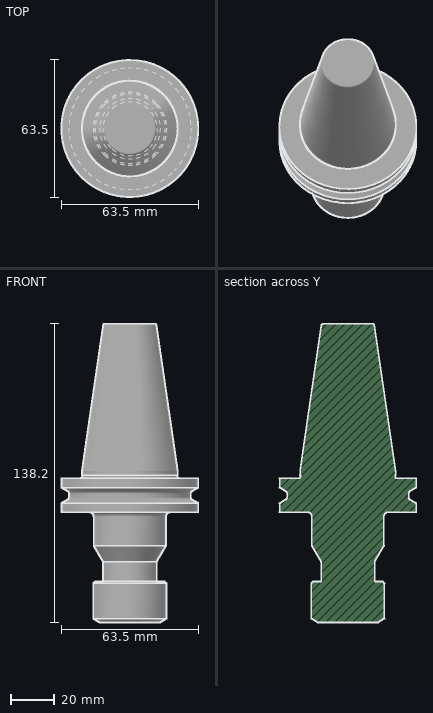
import cadquery as cq
import math


GAUGE_RADIUS = 44.45 / 2
TAPER_LENGTH = 68.25
TAPER_SLOPE = 7 / 48
TIP_FILLET = 1.0

FLANGE_RADIUS = 63.5 / 2
FLANGE_TOP_Z = -3.175
FLANGE_BOTTOM_Z = -19.05
GROOVE_CENTER_Z = -11.2
GROOVE_FLOOR_RADIUS = 28.2
GROOVE_MOUTH_WIDTH = 7.2
GROOVE_FLANK_ANGLE = 30
GROOVE_FILLET = 1.0

RELIEF_RADIUS = 22.0
RELIEF_TOP_Z = -1.9
RELIEF_FILLET = 0.8

BODY_RADIUS = 16.8
BODY_FILLET = 2.0
BODY_BOTTOM_Z = -34.45
NECK_RADIUS = 12.5
NECK_TOP_Z = -41.8

NUT_RADIUS = 17.0
NUT_TOP_Z = -51.0
NUT_BOTTOM_Z = -70.0
NUT_TOP_CHAMFER = 0.9
NUT_BOTTOM_CHAMFER_HEIGHT = 1.8
NUT_BOTTOM_CHAMFER_WIDTH = 3.0

SELECTION_MARGIN = 0.1


def revolve(points):
    """Turn a closed outline of (radius, z) points about the Z axis."""
    outline = cq.Workplane("XZ").polyline(points).close()
    return outline.revolve(360, (0, 0, 0), (0, 1, 0))


def fillet_round_edge(solid, radius, z, fillet):
    """Round the circular edge of the given radius lying at height z."""
    reach = radius + SELECTION_MARGIN
    lower_corner = (-reach, -reach, z - SELECTION_MARGIN)
    upper_corner = (reach, reach, z + SELECTION_MARGIN)
    edge_zone = cq.selectors.BoxSelector(lower_corner, upper_corner, boundingbox=True)
    return solid.edges(edge_zone).fillet(fillet)


def make_shank():
    tip_radius = GAUGE_RADIUS - TAPER_LENGTH * TAPER_SLOPE
    shank = revolve(
        [
            (0, FLANGE_TOP_Z),
            (RELIEF_RADIUS, FLANGE_TOP_Z),
            (RELIEF_RADIUS, RELIEF_TOP_Z),
            (GAUGE_RADIUS, RELIEF_TOP_Z),
            (GAUGE_RADIUS, 0),
            (tip_radius, TAPER_LENGTH),
            (0, TAPER_LENGTH),
        ]
    )
    return shank.faces(">Z").edges().fillet(TIP_FILLET)


def make_flange():
    half_mouth = GROOVE_MOUTH_WIDTH / 2
    groove_depth = FLANGE_RADIUS - GROOVE_FLOOR_RADIUS
    half_floor = half_mouth - groove_depth * math.tan(math.radians(GROOVE_FLANK_ANGLE))
    flange = revolve(
        [
            (0, FLANGE_BOTTOM_Z),
            (FLANGE_RADIUS, FLANGE_BOTTOM_Z),
            (FLANGE_RADIUS, GROOVE_CENTER_Z - half_mouth),
            (GROOVE_FLOOR_RADIUS, GROOVE_CENTER_Z - half_floor),
            (GROOVE_FLOOR_RADIUS, GROOVE_CENTER_Z + half_floor),
            (FLANGE_RADIUS, GROOVE_CENTER_Z + half_mouth),
            (FLANGE_RADIUS, FLANGE_TOP_Z),
            (0, FLANGE_TOP_Z),
        ]
    )
    for corner_z in (GROOVE_CENTER_Z - half_floor, GROOVE_CENTER_Z + half_floor):
        flange = fillet_round_edge(flange, GROOVE_FLOOR_RADIUS, corner_z, GROOVE_FILLET)
    return flange


def make_body():
    return revolve(
        [
            (0, NUT_TOP_Z),
            (NECK_RADIUS, NUT_TOP_Z),
            (NECK_RADIUS, NECK_TOP_Z),
            (BODY_RADIUS, BODY_BOTTOM_Z),
            (BODY_RADIUS, FLANGE_BOTTOM_Z),
            (0, FLANGE_BOTTOM_Z),
        ]
    )


def make_nut():
    return revolve(
        [
            (0, NUT_BOTTOM_Z),
            (NUT_RADIUS - NUT_BOTTOM_CHAMFER_WIDTH, NUT_BOTTOM_Z),
            (NUT_RADIUS, NUT_BOTTOM_Z + NUT_BOTTOM_CHAMFER_HEIGHT),
            (NUT_RADIUS, NUT_TOP_Z - NUT_TOP_CHAMFER),
            (NUT_RADIUS - NUT_TOP_CHAMFER, NUT_TOP_Z),
            (0, NUT_TOP_Z),
        ]
    )


holder = make_shank().union(make_flange()).union(make_body()).union(make_nut())
holder = fillet_round_edge(holder, RELIEF_RADIUS, FLANGE_TOP_Z, RELIEF_FILLET)
holder = fillet_round_edge(holder, BODY_RADIUS, FLANGE_BOTTOM_Z, BODY_FILLET)

result = holder